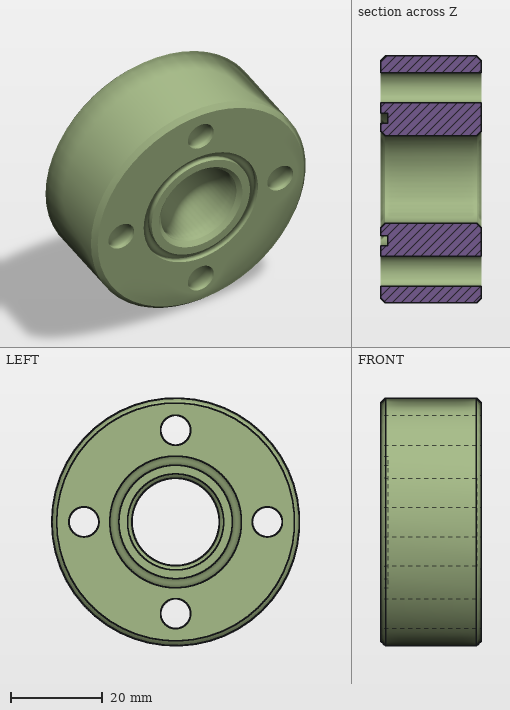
import cadquery as cq

outer_diameter = 54.0
width = 22.0
rim_chamfer = 1.1

bore_diameter = 19.0
bore_chamfer = 0.95

groove_outer_diameter = 28.75
groove_inner_diameter = 24.75
groove_depth = 1.5

bolt_hole_count = 4
bolt_hole_diameter = 6.5
bolt_circle_radius = 20.0


def make_disc():
    """Disc centred on the origin with its axis along X and both rims chamfered."""
    disc = cq.Workplane("YZ", origin=(-width / 2, 0, 0)).circle(outer_diameter / 2).extrude(width)
    return disc.faces("<X or >X").edges().chamfer(rim_chamfer)


def make_bore():
    """Through bore, widened by a chamfer at each mouth."""
    bore_radius = bore_diameter / 2
    mouth_radius = bore_radius + bore_chamfer
    half_width = width / 2
    straight_half = half_width - bore_chamfer
    profile = [
        (-half_width, 0),
        (-half_width, mouth_radius),
        (-straight_half, bore_radius),
        (straight_half, bore_radius),
        (half_width, mouth_radius),
        (half_width, 0),
    ]
    return cq.Workplane("XY").polyline(profile).close().revolve(360, (0, 0, 0), (1, 0, 0))


def make_groove():
    """Shallow ring cut into the -X face."""
    return (
        cq.Workplane("YZ", origin=(-width / 2, 0, 0))
        .circle(groove_outer_diameter / 2)
        .circle(groove_inner_diameter / 2)
        .extrude(groove_depth)
    )


def make_bolt_holes():
    """Through holes equally spaced on the bolt circle, starting on the Y axis."""
    return (
        cq.Workplane("YZ", origin=(-width / 2, 0, 0))
        .polarArray(bolt_circle_radius, 0, 360, bolt_hole_count)
        .circle(bolt_hole_diameter / 2)
        .extrude(width)
    )


result = make_disc().cut(make_bore()).cut(make_groove()).cut(make_bolt_holes())